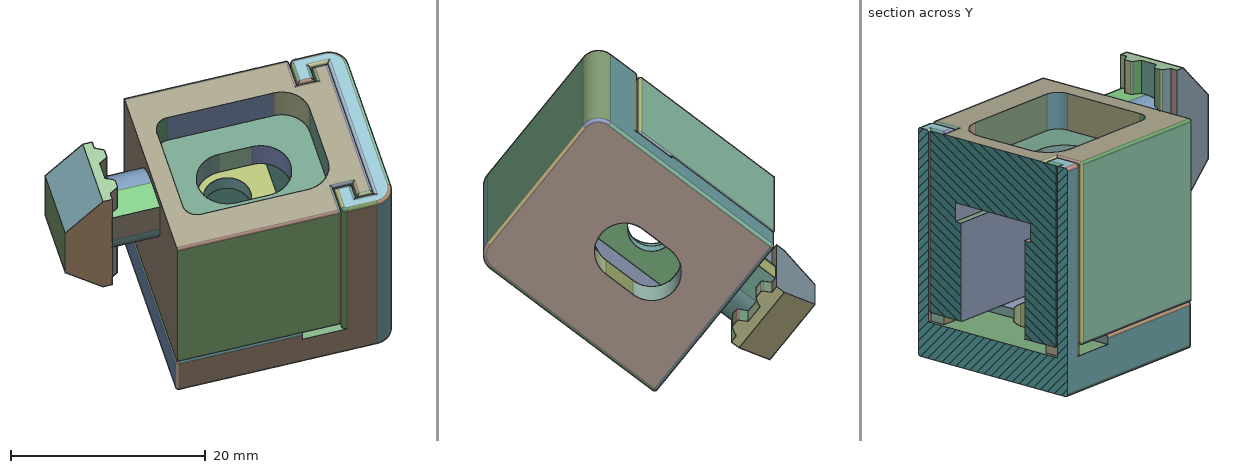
import cadquery as cq

WIDTH = 20.0
BODY_HEIGHT = 24.95

BRACKET_LENGTH = 23.5
BACK_CORNER_RADIUS = 2.0
BRACKET_EDGE_RADIUS = 0.35
LIP_FRONT = 5.7
LIP_CORNER_RADIUS = 0.55
RELIEF_FLOOR = 4.03
PAD_TOP = 5.05
PAD_BACK = 10.0
BRACKET_SLOT_WIDTH = 6.1

GUIDE_BACK = 2.0
TAIL_WIDTH = 16.97
LIP_BACK = 3.9
NECK_WIDTH = 13.45
GUIDE_CLEARANCE = 0.1

BLOCK_FRONT = 23.4
SHOULDER_BACK = 5.85
BLOCK_EDGE_RADIUS = 0.27
POCKET_WIDTH = 12.7
POCKET_BACK = 5.4
POCKET_FRONT = 21.35
POCKET_BACK_RADIUS = 3.0
POCKET_FRONT_RADIUS = 1.5
POCKET_DEPTH = 4.0
SLOT_WIDTH = 6.4
SLOT_BACK_CENTER = 11.63
SLOT_FRONT_CENTER = 15.2

NUT_SIDE = 10.0
NUT_THICKNESS = 1.85
NUT_HOLE_DIAMETER = 4.97
NUT_BOTTOM = 15.8
CHANNEL_TOP = 17.8
LEDGE_OPENING_WIDTH = 8.47

OVERALL_LENGTH = 33.6
OVERALL_HEIGHT = 27.5
HEAD_WIDTH = 7.55
HEAD_HEIGHT = 15.05
HEAD_BACK = 28.55
HEAD_RIM = 1.0
SHANK_WIDTH = 7.12
SHANK_HEIGHT = 7.85
TOOTH_SPACING = 3.95
TOOTH_HEIGHT = 0.95
TOOTH_BASE = 2.0
TOOTH_TIP = 0.95
TOOTH_TIP_RADIUS = 0.25

tail_front = LIP_BACK - 2 * GUIDE_CLEARANCE
head_center = OVERALL_HEIGHT - HEAD_HEIGHT / 2
nut_front = SLOT_FRONT_CENTER + NUT_SIDE / 2


def cuboid(width, back, front, bottom, top):
    """Box centred on X = 0 between two distances from the back face and two heights."""
    box = cq.Workplane("XY").box(width, front - back, top - bottom, centered=(True, False, False))
    return box.translate((0, -front, bottom))


def screw_slot(width, bottom, top):
    """Round-ended slot along Y, with its two end centres on the screw's end positions."""
    spacing = SLOT_FRONT_CENTER - SLOT_BACK_CENTER
    return (
        cq.Workplane("XY", origin=(0, -(SLOT_BACK_CENTER + SLOT_FRONT_CENTER) / 2, bottom))
        .slot2D(spacing + width, width, 90)
        .extrude(top - bottom)
    )


def make_bracket_floor():
    """Floor of the bracket, with a raised pad in front of a shallow relief."""
    floor = cuboid(WIDTH, 0, BRACKET_LENGTH, 0, RELIEF_FLOOR)
    floor = floor.union(cuboid(WIDTH, PAD_BACK, BRACKET_LENGTH, RELIEF_FLOOR, PAD_TOP))
    floor = floor.edges("|Z and <Y").fillet(BRACKET_EDGE_RADIUS)
    return floor.faces(">Z").edges("not >Y").fillet(BRACKET_EDGE_RADIUS)


def make_bracket_wall():
    """Back wall of the bracket, with the T-shaped guide open at its front and top."""
    wall = cuboid(WIDTH, 0, LIP_FRONT, RELIEF_FLOOR, BODY_HEIGHT)
    wall = wall.edges("|Z and <Y").fillet(LIP_CORNER_RADIUS)
    tail_width = TAIL_WIDTH + 2 * GUIDE_CLEARANCE
    neck_width = NECK_WIDTH + 2 * GUIDE_CLEARANCE
    wall = wall.cut(cuboid(tail_width, GUIDE_BACK, LIP_BACK, RELIEF_FLOOR, BODY_HEIGHT))
    return wall.cut(cuboid(neck_width, GUIDE_BACK, LIP_FRONT, RELIEF_FLOOR, BODY_HEIGHT))


def make_bracket():
    body = make_bracket_floor().union(make_bracket_wall())
    body = body.edges("|Z and >Y").fillet(BACK_CORNER_RADIUS)
    body = body.faces("<Z or >Z").edges().fillet(BRACKET_EDGE_RADIUS)
    return body.cut(screw_slot(BRACKET_SLOT_WIDTH, 0, PAD_TOP))


def make_pocket():
    pocket = cuboid(POCKET_WIDTH, POCKET_BACK, POCKET_FRONT, BODY_HEIGHT - POCKET_DEPTH, BODY_HEIGHT)
    pocket = pocket.edges("|Z and >Y").fillet(POCKET_BACK_RADIUS)
    return pocket.edges("|Z and <Y").fillet(POCKET_FRONT_RADIUS)


def make_head():
    """Toothed hammer head with its front tapered at 45 degrees, joined to its shank."""
    half = HEAD_HEIGHT / 2
    rim_front = HEAD_BACK + HEAD_RIM
    front_half = half - (OVERALL_LENGTH - rim_front)
    head = (
        cq.Workplane("YZ", origin=(0, 0, head_center))
        .polyline([
            (-HEAD_BACK, half),
            (-rim_front, half),
            (-OVERALL_LENGTH, front_half),
            (-OVERALL_LENGTH, -front_half),
            (-rim_front, -half),
            (-HEAD_BACK, -half),
        ])
        .close()
        .extrude(HEAD_WIDTH / 2, both=True)
    )
    for x in (-TOOTH_SPACING / 2, TOOTH_SPACING / 2):
        head = head.union(make_tooth(x))
    return head.union(make_shank())


def make_tooth(x):
    tooth = (
        cq.Workplane("XY", origin=(x, -HEAD_BACK, head_center - HEAD_HEIGHT / 2))
        .polyline([
            (-TOOTH_BASE / 2, 0),
            (-TOOTH_TIP / 2, TOOTH_HEIGHT),
            (TOOTH_TIP / 2, TOOTH_HEIGHT),
            (TOOTH_BASE / 2, 0),
        ])
        .close()
        .extrude(HEAD_HEIGHT)
    )
    return tooth.edges("|Z and >Y").fillet(TOOTH_TIP_RADIUS)


def make_shank():
    """Shank with two opposite round corners, which let it turn in a slot."""
    radius = SHANK_HEIGHT / 2
    shank = cuboid(SHANK_WIDTH, BLOCK_FRONT, HEAD_BACK, head_center - radius, head_center + radius)
    shank = shank.edges("|Y and <X and >Z").fillet(radius)
    return shank.edges("|Y and >X and <Z").fillet(radius)


def make_nut_channel():
    """Channel for the nut, with a narrower opening under it that leaves a ledge on each side."""
    channel = cuboid(NUT_SIDE, GUIDE_BACK, nut_front, NUT_BOTTOM, CHANNEL_TOP)
    return channel.union(cuboid(LEDGE_OPENING_WIDTH, GUIDE_BACK, nut_front, PAD_TOP, NUT_BOTTOM))


def make_block():
    body = cuboid(WIDTH, SHOULDER_BACK, BLOCK_FRONT, PAD_TOP, BODY_HEIGHT)
    body = body.edges("|Z and >Y").fillet(BLOCK_EDGE_RADIUS)
    body = body.union(cuboid(NECK_WIDTH, GUIDE_BACK, SHOULDER_BACK, PAD_TOP, BODY_HEIGHT))
    body = body.union(cuboid(TAIL_WIDTH, GUIDE_BACK, tail_front, PAD_TOP, BODY_HEIGHT))
    body = body.edges("(not |Z) and (not <Y)").fillet(BLOCK_EDGE_RADIUS)

    body = body.cut(make_pocket())
    body = body.cut(screw_slot(SLOT_WIDTH, CHANNEL_TOP, BODY_HEIGHT))
    body = body.cut(make_nut_channel())
    return body.union(make_head())


def make_nut():
    nut = cuboid(NUT_SIDE, nut_front - NUT_SIDE, nut_front, NUT_BOTTOM, NUT_BOTTOM + NUT_THICKNESS)
    return nut.faces(">Z").workplane(centerOption="CenterOfBoundBox").hole(NUT_HOLE_DIAMETER)


bracket = make_bracket()
block = make_block()
nut = make_nut()

result = cq.Compound.makeCompound([body.solids().val() for body in (bracket, block, nut)])